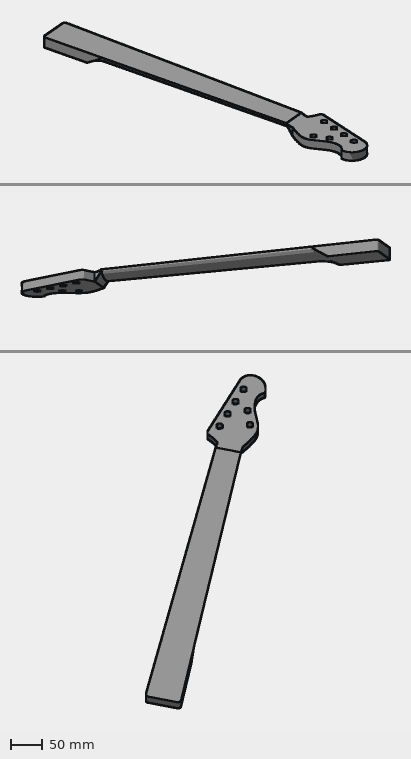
import cadquery as cq
import math

length = 620.5
total_height = 19.0

heel_width = 58.0
nut_width = 41.5
heel_end = 86.0
neck_start = 112.0
nut_x = 474.5
heel_corner_radius = 5.0
side_arc_angle = 11.0
neck_bottom_at_heel = 3.0
neck_bottom_at_nut = 5.5

headstock_x = 486.5
headstock_drop = 3.4
headstock_thickness = total_height - headstock_drop
headstock_y_max = 40.5
headstock_y_min = -37.0

hole_diameter = 10.0
upper_hole_start = (517.0, 23.5)
upper_hole_count = 4
lower_hole_start = (530.0, -23.0)
lower_hole_count = 2
upper_pitch = 26.0
lower_pitch = 26.5
upper_row_angle = -16.4
lower_row_angle = 20.6


def half_width(x):
    """Half the neck width at x; the sides taper straight from heel to nut."""
    return (heel_width + (nut_width - heel_width) * x / nut_x) / 2


def block_section(x):
    """Rectangular cross-section, standing on Z = 0."""
    w = half_width(x)
    top = total_height
    return [
        cq.Edge.makeLine(cq.Vector(x, -w, top), cq.Vector(x, w, top)),
        cq.Edge.makeLine(cq.Vector(x, w, top), cq.Vector(x, w, 0)),
        cq.Edge.makeLine(cq.Vector(x, w, 0), cq.Vector(x, -w, 0)),
        cq.Edge.makeLine(cq.Vector(x, -w, 0), cq.Vector(x, -w, top)),
    ]


def neck_section(x, bottom):
    """Flat top and half-elliptical back, split so each piece meets one side of the block."""
    w = half_width(x)
    depth = total_height - bottom

    def back_arc(start, end):
        return cq.Edge.makeEllipse(
            w,
            depth,
            cq.Vector(x, 0, total_height),
            cq.Vector(1, 0, 0),
            cq.Vector(0, 1, 0),
            start,
            end,
        )

    return [
        cq.Edge.makeLine(cq.Vector(x, -w, total_height), cq.Vector(x, w, total_height)),
        back_arc(360 - side_arc_angle, 360),
        back_arc(180 + side_arc_angle, 360 - side_arc_angle),
        back_arc(180, 180 + side_arc_angle),
    ]


def ruled_loft(first, second):
    """Solid with straight rulings between two closed sections."""
    wires = [cq.Wire.assembleEdges(edges) for edges in (first, second)]
    return cq.Workplane(cq.Solid.makeLoft(wires, True))


def make_heel():
    """Full-depth block with rounded end corners."""
    heel = ruled_loft(block_section(0), block_section(heel_end))
    return heel.edges("|Z and <X").fillet(heel_corner_radius)


def make_neck():
    """Rounded shaft with a blend into the heel and another into the headstock."""
    at_heel = neck_section(neck_start, neck_bottom_at_heel)
    at_nut = neck_section(nut_x, neck_bottom_at_nut)
    heel_blend = ruled_loft(block_section(heel_end), at_heel)
    shaft = ruled_loft(at_heel, at_nut)
    head_blend = ruled_loft(at_nut, block_section(headstock_x))
    return heel_blend.union(shaft).union(head_blend)


def cut_nut_cove(body):
    """Concave step from the playing surface down to the headstock face."""
    run = headstock_x - nut_x
    radius = (run**2 + headstock_drop**2) / (2 * headstock_drop)
    half_angle = math.atan2(headstock_drop, run)
    middle = (
        headstock_x - radius * math.sin(half_angle),
        headstock_thickness + radius * (1 - math.cos(half_angle)),
    )
    cutter = (
        cq.Workplane("XZ")
        .moveTo(nut_x, total_height)
        .threePointArc(middle, (headstock_x, headstock_thickness))
        .lineTo(headstock_x, total_height)
        .close()
        .extrude(heel_width, both=True)
    )
    return body.cut(cutter)


def make_headstock():
    """Flat plate outlined clockwise from the lower root corner."""
    root = half_width(headstock_x)
    tip = [(length, -9.0), (613.0, -26.0), (600.0, -33.0), (592.5, -33.0)]
    lower_hollow = [(586.0, -25.5), (574.5, -22.0), (550.5, -28.0)]
    lower_bulge = [(522.5, headstock_y_min), (505.0, -31.5)]
    lower_edge = lower_hollow + lower_bulge + [(headstock_x, -root)]
    return (
        cq.Workplane("XY")
        .moveTo(headstock_x, -root)
        .lineTo(headstock_x, root)
        .threePointArc((492.0, 28.0), (497.0, 37.0))
        .threePointArc((499.5, 40.0), (504.0, headstock_y_max))
        .lineTo(608.0, 10.5)
        .spline(tip, includeCurrent=True)
        .spline(lower_edge, includeCurrent=True)
        .close()
        .extrude(headstock_thickness)
    )


def hole_row(start, count, pitch, angle):
    """Straight row of tuner hole cutters."""
    step_x = pitch * math.cos(math.radians(angle))
    step_y = pitch * math.sin(math.radians(angle))
    centres = [(start[0] + i * step_x, start[1] + i * step_y) for i in range(count)]
    return cq.Workplane("XY").pushPoints(centres).circle(hole_diameter / 2).extrude(total_height)


neck = cut_nut_cove(make_heel().union(make_neck()))
result = (
    neck.union(make_headstock())
    .cut(hole_row(upper_hole_start, upper_hole_count, upper_pitch, upper_row_angle))
    .cut(hole_row(lower_hole_start, lower_hole_count, lower_pitch, lower_row_angle))
)